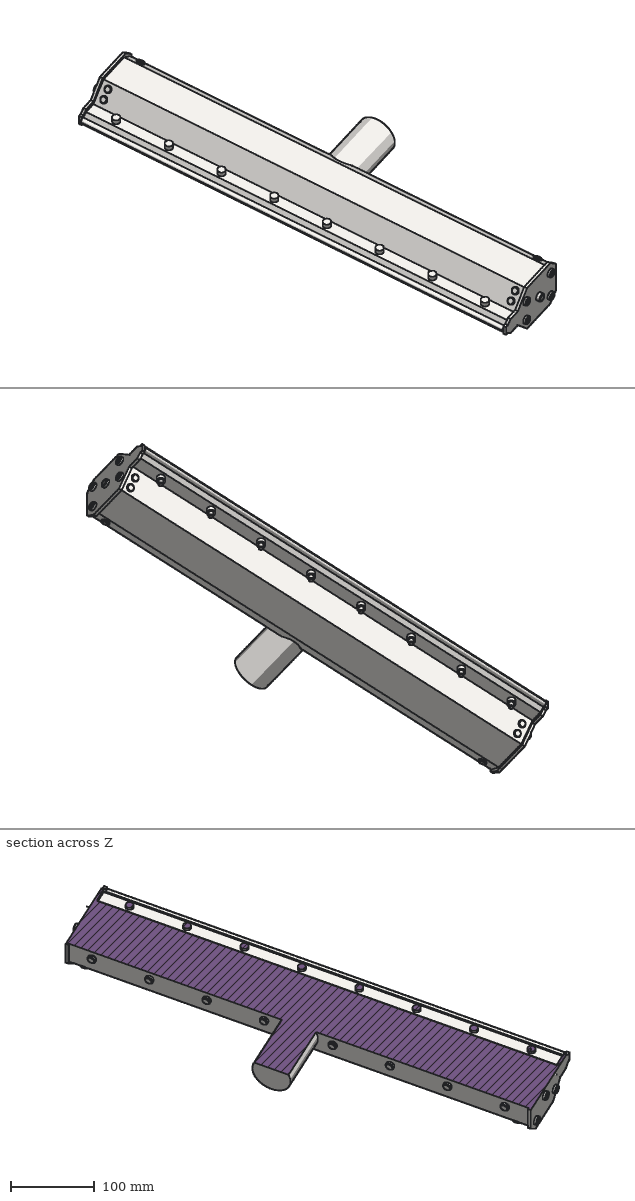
import cadquery as cq

overall_x = 627.46
overall_y = 183.58
overall_z = 71.13
pipe_diameter = 50.8
pipe_end_y = 112.2
nose_tip_y = pipe_end_y - overall_y

end_head_height = 4.0
plug_height_left = 4.0
plug_height_right = 5.6
plate_outer_x = (overall_x - plug_height_left - plug_height_right) / 2
plate_thickness = 4.0
plate_inner_x = plate_outer_x - plate_thickness

neck_y = -44.0
neck_front_y = -59.5
nose_slope_end_y = -65.3

plate_back_y = 37.9
plate_ridge_back_y = 25.0
plate_ridge_front_y = -24.4
plate_half_height = overall_z / 2
plate_back_half_height = 22.7
plate_neck_half_height = 12.2
plate_nose_half_height = 6.8
plate_front_y = -69.3

housing_back_y = 36.0
housing_ridge_back_y = 21.5
housing_ridge_front_y = -22.3
housing_half_height = 32.0
housing_back_half_height = 21.0
flange_half_height = 7.6
lip_half_height = 3.0
lip_round_radius = 2.0

slot_height = 0.5
slot_depth = 12.0

screw_pitch = 76.2
screws_per_half = 4
nose_bolt_start_x = screw_pitch / 2
nose_bolt_y = -51.8
nose_head_diameter = 10.13
nose_head_top_z = 14.2
nut_bottom_z = -14.4
bolt_diameter = 6.0
bolt_end_z = -22.0
bolt_end_chamfer = 1.0

back_screw_start_x = 45.5
back_head_diameter = 10.5
back_head_height = 4.0

front_slope_screw_x = 294.5
front_slope_screw_ys = (-28.0, -37.0)
front_slope_head_diameter = 9.5
front_slope_head_height = 1.5
back_slope_screw_x = 287.0
back_slope_screw_y = 29.5
back_slope_head_diameter = 10.5
back_slope_head_height = 2.5

end_screw_places = ((24.6, 19.8), (-27.5, 16.2))
end_head_diameter = 11.0
plug_diameter = 11.0

head_chamfer = 1.0
head_root = 1.5
socket_diameter = 4.0
socket_depth = 1.0

plate_half_profile = [
    (plate_back_y, plate_back_half_height),
    (plate_ridge_back_y, plate_half_height),
    (plate_ridge_front_y, plate_half_height),
    (neck_y, plate_neck_half_height),
    (neck_front_y, plate_neck_half_height),
    (nose_slope_end_y, plate_nose_half_height),
    (plate_front_y, plate_nose_half_height),
]

housing_half_profile = [
    (housing_back_y, housing_back_half_height),
    (housing_ridge_back_y, housing_half_height),
    (housing_ridge_front_y, housing_half_height),
    (neck_y, flange_half_height),
    (neck_front_y, flange_half_height),
    (nose_slope_end_y, lip_half_height),
    (nose_tip_y, lip_half_height),
]


def symmetric_bar(half_profile, x_start, x_end):
    """Bar along X whose (y, z) profile is mirrored about Z = 0."""
    points = half_profile + [(y, -z) for y, z in reversed(half_profile)]
    return cq.Workplane("YZ").workplane(offset=x_start).polyline(points).close().extrude(x_end - x_start)


def make_housing():
    body = symmetric_bar(housing_half_profile, -plate_inner_x, plate_inner_x)
    body = body.faces("<Y").edges("|X").fillet(lip_round_radius)
    slot = cq.Workplane("XY").box(2 * plate_inner_x, slot_depth, slot_height)
    return body.cut(slot.translate((0, nose_tip_y + slot_depth / 2, 0)))


def make_end_plates():
    left = symmetric_bar(plate_half_profile, -plate_outer_x, -plate_inner_x)
    right = symmetric_bar(plate_half_profile, plate_inner_x, plate_outer_x)
    return left.union(right)


def make_pipe():
    return cq.Workplane("XZ").circle(pipe_diameter / 2).extrude(-pipe_end_y)


def make_head(place, normal, diameter, height, with_socket=True):
    """Round head with a chamfered rim, standing on a face and rooted just below it."""
    plane = cq.Plane(origin=place, normal=normal)
    head = cq.Workplane(plane).workplane(offset=-head_root).circle(diameter / 2).extrude(head_root + height)
    head = head.faces(cq.selectors.DirectionMinMaxSelector(plane.zDir)).chamfer(head_chamfer)
    if not with_socket:
        return head
    socket = cq.Workplane(plane).workplane(offset=height - socket_depth)
    return head.cut(socket.circle(socket_diameter / 2).extrude(socket_depth))


def row_positions(start_x):
    """X positions of a screw row that is mirrored about X = 0."""
    offsets = [start_x + index * screw_pitch for index in range(screws_per_half)]
    return [-x for x in offsets] + offsets


def add_nose_bolts(part):
    for x in row_positions(nose_bolt_start_x):
        base = cq.Workplane("XY").center(x, nose_bolt_y)
        clamp = base.workplane(offset=nut_bottom_z).circle(nose_head_diameter / 2)
        clamp = clamp.extrude(nose_head_top_z - nut_bottom_z)
        shank = base.workplane(offset=bolt_end_z).circle(bolt_diameter / 2).extrude(-bolt_end_z)
        shank = shank.faces("<Z").chamfer(bolt_end_chamfer)
        part = part.union(clamp).union(shank)
    return part


def add_back_screws(part):
    for x in row_positions(back_screw_start_x):
        place = (x, housing_back_y, 0)
        part = part.union(make_head(place, (0, 1, 0), back_head_diameter, back_head_height, with_socket=False))
    return part


def add_slope_screws(part, upper, lower, screw_x, screw_ys, diameter, height):
    """Heads at both ends of a sloped face, above and below, given the (y, z) ends of the slope."""
    run = lower[0] - upper[0]
    drop = upper[1] - lower[1]
    outward = 1 if run > 0 else -1
    for y in screw_ys:
        z = upper[1] - drop * (y - upper[0]) / run
        for x in (-screw_x, screw_x):
            for side in (-1, 1):
                normal = (0, outward * drop, side * abs(run))
                part = part.union(make_head((x, y, side * z), normal, diameter, height, with_socket=False))
    return part


def add_end_screws(part):
    for side, plug_height in ((-1, plug_height_left), (1, plug_height_right)):
        x = side * plate_outer_x
        normal = (side, 0, 0)
        for y, z in end_screw_places:
            for head_z in (-z, z):
                part = part.union(make_head((x, y, head_z), normal, end_head_diameter, end_head_height))
        part = part.union(make_head((x, 0, 0), normal, plug_diameter, plug_height, with_socket=False))
    return part


result = make_housing().union(make_end_plates()).union(make_pipe())
result = add_nose_bolts(result)
result = add_back_screws(result)
result = add_slope_screws(
    result,
    (housing_ridge_front_y, housing_half_height),
    (neck_y, flange_half_height),
    front_slope_screw_x,
    front_slope_screw_ys,
    front_slope_head_diameter,
    front_slope_head_height,
)
result = add_slope_screws(
    result,
    (housing_ridge_back_y, housing_half_height),
    (housing_back_y, housing_back_half_height),
    back_slope_screw_x,
    (back_slope_screw_y,),
    back_slope_head_diameter,
    back_slope_head_height,
)
result = add_end_screws(result)